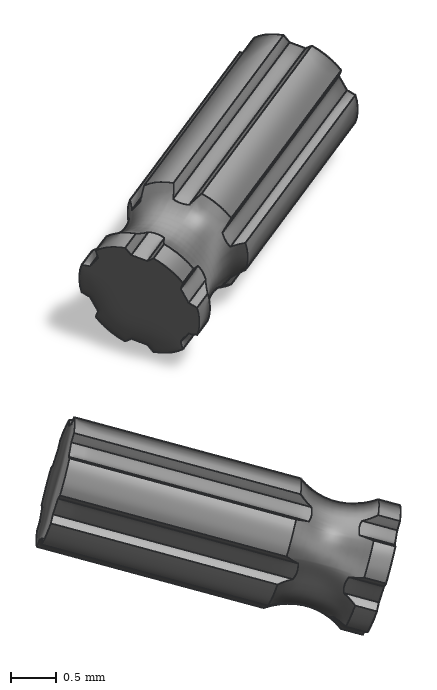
import cadquery as cq
import math

length = 3.75
radius = 0.75

neck_radius = 0.6
neck_center = 0.698
neck_half_length = 0.445

groove_count = 6
groove_rim_half_width = 0.175
groove_floor_radius = 0.652
cutter_clearance = 0.038


def make_body():
    """Revolve the half profile, including the neck arc, about the Y axis."""
    return (
        cq.Workplane("XY")
        .lineTo(radius, 0)
        .lineTo(radius, neck_center - neck_half_length)
        .threePointArc((neck_radius, neck_center), (radius, neck_center + neck_half_length))
        .lineTo(radius, length)
        .lineTo(0, length)
        .close()
        .revolve(360, (0, 0, 0), (0, 1, 0))
    )


def make_groove_cutter():
    """Trapezoidal bar that cuts the groove on the +Z side."""
    rim_height = math.sqrt(radius**2 - groove_rim_half_width**2)
    floor_half_width = groove_rim_half_width - (rim_height - groove_floor_radius)
    top_height = radius + cutter_clearance
    top_half_width = floor_half_width + top_height - groove_floor_radius
    return (
        cq.Workplane("XZ")
        .polyline([
            (-floor_half_width, groove_floor_radius),
            (floor_half_width, groove_floor_radius),
            (top_half_width, top_height),
            (-top_half_width, top_height),
        ])
        .close()
        .extrude(-length)
    )


result = make_body()
groove_cutter = make_groove_cutter()
for index in range(groove_count):
    angle = index * 360 / groove_count
    result = result.cut(groove_cutter.rotate((0, 0, 0), (0, 1, 0), angle))